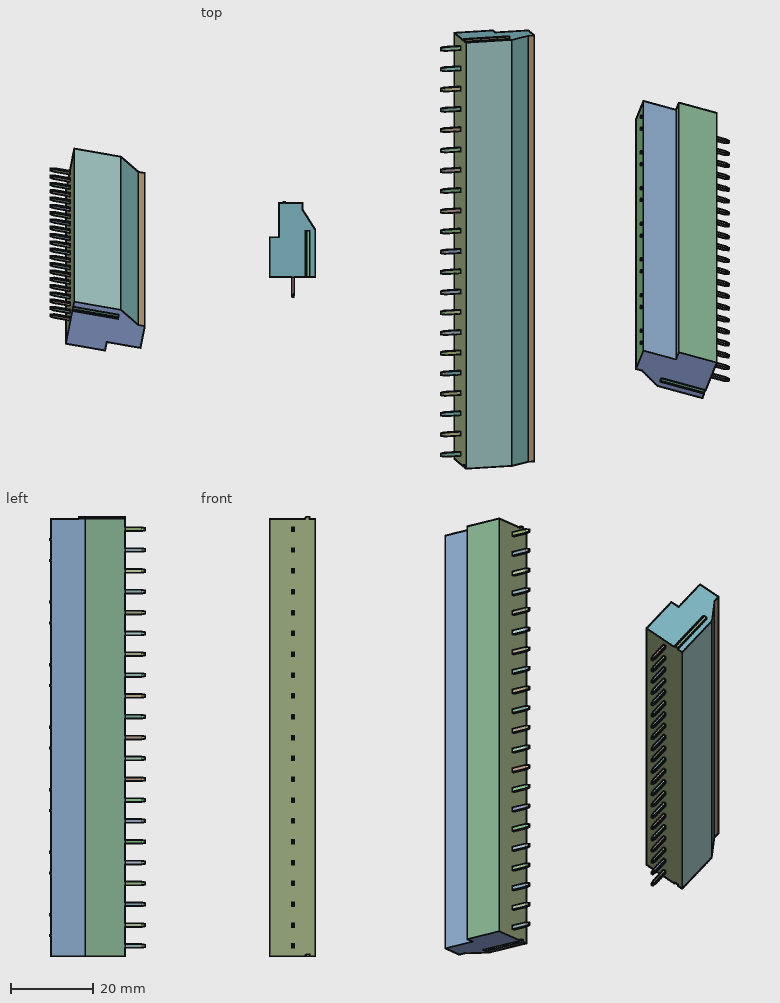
import cadquery as cq

overall_height = 107.2
overall_depth = 23.4

poles_per_module = 3
module_count = 7
pole_count = poles_per_module * module_count
pitch = 5.08
body_height = pole_count * pitch

body_width = 11.1
body_depth = 18.1
step_width = 2.3
step_depth = 9.8
back_edge_x = 8.0
bevel_front_y = 11.6
bevel_back_y = 16.5

rib_height = overall_height - body_height
rib_length = 11.4
rib_left = 8.7
rib_chamfer_width = 0.3
rib_chamfer_height = 0.2
rib_right = 9.8

pin_x = 5.7
pin_width = 0.6
pin_height = 1.0
pin_length = 4.9
pin_tip_length = 1.0
pin_tip_scale = 0.6

bump_x = 3.5
bump_width = 0.5
bump_height = 0.4
bump_projection = overall_depth - body_depth - pin_length


def make_housing():
    outline = [
        (0, 0),
        (body_width, 0),
        (body_width, bevel_front_y),
        (back_edge_x, bevel_back_y),
        (back_edge_x, body_depth),
        (step_width, body_depth),
        (step_width, step_depth),
        (0, step_depth),
    ]
    return cq.Workplane("XY").polyline(outline).close().extrude(body_height)


def make_rib(base_z):
    """Bar along Y with its upper left edge chamfered, standing on the level base_z."""
    top_z = base_z + rib_height
    section = [
        (rib_left, base_z),
        (rib_right, base_z),
        (rib_right, top_z),
        (rib_left + rib_chamfer_width, top_z),
        (rib_left, top_z - rib_chamfer_height),
    ]
    return cq.Workplane("XZ").polyline(section).close().extrude(-rib_length)


def make_pin(z):
    shank_length = pin_length - pin_tip_length
    shank = (
        cq.Workplane("XZ", origin=(pin_x, 0, z))
        .rect(pin_width, pin_height)
        .extrude(shank_length)
    )
    tip = (
        cq.Workplane("XZ", origin=(pin_x, -shank_length, z))
        .rect(pin_width, pin_height)
        .workplane(offset=pin_tip_length)
        .rect(pin_width * pin_tip_scale, pin_height * pin_tip_scale)
        .loft(ruled=True)
    )
    return shank.union(tip)


def make_bump(z):
    return (
        cq.Workplane("XZ", origin=(bump_x, body_depth, z))
        .rect(bump_width, bump_height)
        .extrude(-bump_projection)
    )


result = make_housing().union(make_rib(body_height)).cut(make_rib(0))

for pole in range(pole_count):
    result = result.union(make_pin((pole + 0.5) * pitch))

for boundary in range(1, pole_count):
    if boundary % poles_per_module != 0:
        result = result.union(make_bump(boundary * pitch))